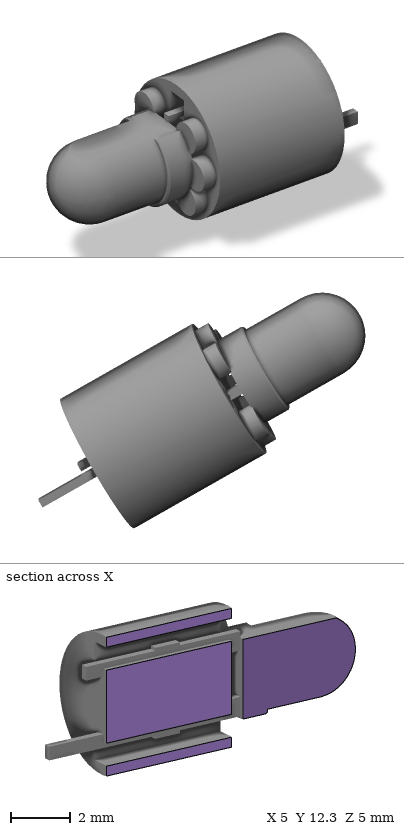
import cadquery as cq
import math


HOLDER_DIAMETER = 5.0
HOLDER_LENGTH = 5.1
FEATURE_CIRCLE_RADIUS = 1.71
FOOT_DIAMETER = 1.14
FOOT_HEIGHT = 0.5
FOOT_ANGLES = (0, 45, 135, 180, 225, 315)
SLOT_ANGLES = (90, 270)
SLOT_SIZE = 0.8

FLANGE_RADIUS = 1.6
FLANGE_LENGTH = 1.0
FLANGE_CHAMFER = 0.06
LENS_RADIUS = 1.45
LAMP_LENGTH = 4.6
LAMP_SEATING_DEPTH = 0.05
FLAT_HEIGHT = 1.28
FLAT_WIDTH = 1.734

LEAD_PITCH = 2.54
LEAD_THICKNESS = 0.26
LEAD_HEIGHT = 0.49
ROOT_EDGE_HEIGHT = 0.825
SHOULDER_HEIGHT = 0.7
SHOULDER_START = 2.0
SHOULDER_LENGTH = 1.0
UPPER_LEAD_PROTRUSION = 0.7
LOWER_LEAD_PROTRUSION = 2.2

lamp_back = LAMP_SEATING_DEPTH - FOOT_HEIGHT
flange_front = lamp_back - FLANGE_LENGTH
lens_tip = lamp_back - LAMP_LENGTH
dome_centre = lens_tip + LENS_RADIUS


def box_between(x_range, y_range, z_range):
    """Axis-aligned box spanning the given (low, high) ranges."""
    sizes = [high - low for low, high in (x_range, y_range, z_range)]
    corner = (x_range[0], y_range[0], z_range[0])
    return cq.Workplane("XY").box(*sizes, centered=False).translate(corner)


def polar_points(angles):
    """Positions in the XZ plane on the circle shared by feet and slots."""
    return [
        (
            FEATURE_CIRCLE_RADIUS * math.cos(math.radians(angle)),
            FEATURE_CIRCLE_RADIUS * math.sin(math.radians(angle)),
        )
        for angle in angles
    ]


def make_lens():
    """Revolved lens and flange, with a flat milled along the top."""
    dome_middle = LENS_RADIUS * math.sqrt(0.5)
    profile = (
        cq.Workplane("XY")
        .moveTo(0, lamp_back)
        .lineTo(FLANGE_RADIUS, lamp_back)
        .lineTo(FLANGE_RADIUS, flange_front + FLANGE_CHAMFER)
        .lineTo(FLANGE_RADIUS - FLANGE_CHAMFER, flange_front)
        .lineTo(LENS_RADIUS, flange_front)
        .lineTo(LENS_RADIUS, dome_centre)
        .threePointArc((dome_middle, dome_centre - dome_middle), (0, lens_tip))
        .close()
    )
    lens = profile.revolve(360, (0, 0, 0), (0, 1, 0))
    flat_cutter = box_between(
        (-FLAT_WIDTH / 2, FLAT_WIDTH / 2),
        (lens_tip, lamp_back),
        (FLAT_HEIGHT, FLANGE_RADIUS),
    )
    return lens.cut(flat_cutter)


def make_lead(height_on_z, protrusion):
    """Flat lead running from the lens back, through the holder and out behind it."""
    thickness_range = (-LEAD_THICKNESS / 2, LEAD_THICKNESS / 2)
    strip = box_between(
        thickness_range,
        (lamp_back, HOLDER_LENGTH + protrusion),
        (height_on_z - LEAD_HEIGHT / 2, height_on_z + LEAD_HEIGHT / 2),
    )
    shoulder = box_between(
        thickness_range,
        (SHOULDER_START, SHOULDER_START + SHOULDER_LENGTH),
        (height_on_z - SHOULDER_HEIGHT / 2, height_on_z + SHOULDER_HEIGHT / 2),
    )
    root_edge = math.copysign(ROOT_EDGE_HEIGHT, height_on_z)
    root = box_between(
        thickness_range,
        (lamp_back, 0),
        sorted((root_edge, height_on_z)),
    )
    return strip.union(shoulder).union(root)


def make_lamp():
    """Lens with its two leads as one solid."""
    upper_lead = make_lead(LEAD_PITCH / 2, UPPER_LEAD_PROTRUSION)
    lower_lead = make_lead(-LEAD_PITCH / 2, LOWER_LEAD_PROTRUSION)
    return make_lens().union(upper_lead).union(lower_lead)


def make_holder(lamp):
    """Cylinder with feet and slots, recessed to fit the lamp."""
    body = cq.Workplane("XZ").circle(HOLDER_DIAMETER / 2).extrude(-HOLDER_LENGTH)
    feet = (
        cq.Workplane("XZ")
        .pushPoints(polar_points(FOOT_ANGLES))
        .circle(FOOT_DIAMETER / 2)
        .extrude(FOOT_HEIGHT)
    )
    slots = (
        cq.Workplane("XZ")
        .pushPoints(polar_points(SLOT_ANGLES))
        .rect(SLOT_SIZE, SLOT_SIZE)
        .extrude(-HOLDER_LENGTH)
    )
    return body.union(feet).cut(slots).cut(lamp)


lamp = make_lamp()
holder = make_holder(lamp)

result = cq.Compound.makeCompound([holder.val(), lamp.val()])